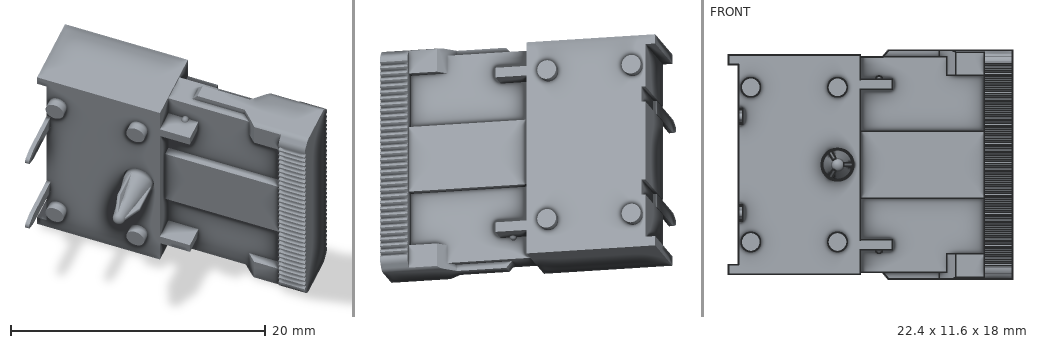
import cadquery as cq
import math

total_length = 22.35
total_height = 18.0

housing_length = 10.37
housing_depth = 6.03
housing_height = 17.25
flange_overhang = 0.78
flange_thickness = 0.75

arm_length = 2.53
arm_thickness = 0.78
arm_outer_z = 6.7
nub_x = 11.85
nub_radius = 0.27
nub_straight = 0.2

pin_diameter = 1.52
pin_length = 0.75
pin_back_x = 1.77
pin_front_x = 8.58
pin_z = 6.08

contact_z = 3.8
contact_width = 1.07
contact_thickness = 0.34
contact_top_y = -1.03
contact_taper_y = -6.64
contact_round_y = -7.46
contact_tip_y = -7.65
contact_tip_width = 0.54
contact_slot_width = 1.23

peg_diameter = 2.35
peg_seat_diameter = 2.55
peg_seat_depth = 0.75
peg_collar = 0.31
peg_tip_radius = 0.5
peg_tip_y = -7.8
fin_count = 3
fin_width = 0.3
fin_edge_radius = 0.1
fin_reach = 1.2
fin_shoulder = 0.3
fin_taper_y = -5.88

slider_thickness = 2.37
slider_height = 16.95
rib_thickness = 3.78
rib_height = 5.27
rail_start_x = 12.14
rail_slope_length = 0.45
rail_width = 1.16
shoulder_start_x = 16.56
shoulder_inner_z = 7.02
grip_length = 2.21
grip_thickness = 4.8
grip_chamfer = 0.65
grip_fillet = 0.65
groove_count = 32
groove_pitch = 0.5
groove_width = 0.35
groove_depth = 0.27

front_face_y = -housing_depth / 2
slider_face_y = slider_thickness / 2
grip_start_x = total_length - grip_length
contact_slot_depth = contact_thickness


def box(x_range, y_range, z_range):
    """Box between two limits on each axis."""
    size = [high - low for low, high in (x_range, y_range, z_range)]
    corner = (x_range[0], y_range[0], z_range[0])
    return cq.Workplane("XY").box(*size, centered=False).translate(corner)


def centred_box(x_range, thickness, height):
    """Box along X that is centred on Y = 0 and Z = 0."""
    return box(x_range, (-thickness / 2, thickness / 2), (-height / 2, height / 2))


def rod(x, z, diameter, y_range):
    """Cylinder along Y between two limits."""
    low, high = y_range
    start = cq.Vector(x, low, z)
    return cq.Workplane(cq.Solid.makeCylinder(diameter / 2, high - low, start, cq.Vector(0, 1, 0)))


def mirror_z(half):
    """The given shape together with its mirror image below Z = 0."""
    return half.union(half.mirror("XY"))


def make_nub():
    """Round-ended nub on the outer face of the front arm, pointing to -Y."""
    straight_end_y = -slider_face_y - nub_straight
    arc_offset = nub_radius * math.sqrt(0.5)
    nub = (
        cq.Workplane("XY")
        .moveTo(0, -slider_face_y)
        .lineTo(nub_radius, -slider_face_y)
        .lineTo(nub_radius, straight_end_y)
        .threePointArc((arc_offset, straight_end_y - arc_offset), (0, straight_end_y - nub_radius))
        .close()
        .revolve(360, (0, 0), (0, 1))
    )
    return nub.translate((nub_x, 0, arm_outer_z))


def make_guide_arms():
    """Four arms in front of and behind the plug, each with its nub."""
    x_range = (housing_length, housing_length + arm_length)
    z_range = (arm_outer_z - arm_thickness, arm_outer_z)
    front_arm = box(x_range, (front_face_y, -slider_face_y), z_range).union(make_nub())
    upper_arms = front_arm.union(front_arm.mirror("XZ"))
    return mirror_z(upper_arms)


def make_housing():
    body = centred_box((0, housing_length), housing_depth, housing_height)
    recess_height = housing_height - 2 * flange_thickness
    body = body.cut(centred_box((0, flange_overhang), housing_depth, recess_height))
    for z in (-contact_z, contact_z):
        slot = centred_box(
            (flange_overhang, flange_overhang + contact_slot_depth), housing_depth, contact_slot_width
        )
        body = body.cut(slot.translate((0, 0, z)))
    pin_end_y = housing_depth / 2 + pin_length
    for x in (pin_back_x, pin_front_x):
        for z in (-pin_z, pin_z):
            body = body.union(rod(x, z, pin_diameter, (-pin_end_y, pin_end_y)))
    seat_range = (front_face_y, front_face_y + peg_seat_depth)
    body = body.cut(rod(pin_front_x, 0, peg_seat_diameter, seat_range))
    return body.union(make_guide_arms())


def make_contact(z):
    """Flat blade with a narrowed, rounded tip, lying in its housing slot."""
    half_width = contact_width / 2
    half_tip = contact_tip_width / 2
    blade = (
        cq.Workplane("YZ")
        .moveTo(contact_top_y, half_width)
        .lineTo(contact_taper_y, half_width)
        .lineTo(contact_round_y, half_tip)
        .threePointArc((contact_tip_y, 0), (contact_round_y, -half_tip))
        .lineTo(contact_taper_y, -half_width)
        .lineTo(contact_top_y, -half_width)
        .close()
        .extrude(contact_thickness)
    )
    return blade.translate((flange_overhang, 0, z))


def make_peg():
    """Tapered peg with a round tip and fins spaced evenly round its axis."""
    radius = peg_diameter / 2
    base_y = front_face_y + peg_seat_depth
    cone_start_y = front_face_y - peg_collar
    cone_end_y = peg_tip_y + peg_tip_radius
    arc_offset = peg_tip_radius * math.sqrt(0.5)
    peg = (
        cq.Workplane("XY")
        .moveTo(0, base_y)
        .lineTo(radius, base_y)
        .lineTo(radius, cone_start_y)
        .lineTo(peg_tip_radius, cone_end_y)
        .threePointArc((arc_offset, cone_end_y - arc_offset), (0, peg_tip_y))
        .close()
        .revolve(360, (0, 0), (0, 1))
    )
    fin = (
        cq.Workplane("XY")
        .polyline([
            (0, cone_start_y),
            (radius, cone_start_y),
            (fin_reach, cone_start_y - fin_shoulder),
            (fin_reach, fin_taper_y),
            (peg_tip_radius, cone_end_y),
            (0, cone_end_y),
        ])
        .close()
        .extrude(fin_width / 2, both=True)
        .faces("<Z or >Z")
        .edges()
        .fillet(fin_edge_radius)
    )
    for index in range(fin_count):
        peg = peg.union(fin.rotate((0, 0, 0), (0, 1, 0), index * 360 / fin_count))
    return peg.translate((pin_front_x, 0, 0))


def make_grip_envelope():
    """Bar along X with softened long edges that bounds the grip and the shoulders."""
    return (
        centred_box((0, total_length), grip_thickness, total_height)
        .edges("|X")
        .chamfer(grip_chamfer)
        .edges("|X")
        .fillet(grip_fillet)
    )


def make_shoulder():
    """Narrow rail on the top edge that flares at 45 degrees into the shoulder block."""
    half_rail = rail_width / 2
    half_shoulder = rib_thickness / 2
    flare_end_x = shoulder_start_x + half_shoulder - half_rail
    top_z = total_height / 2
    slider_top_z = slider_height / 2
    rail = (
        cq.Workplane("XZ")
        .polyline([
            (rail_start_x, slider_top_z),
            (rail_start_x + rail_slope_length, top_z),
            (grip_start_x, top_z),
            (grip_start_x, slider_top_z),
        ])
        .close()
        .extrude(half_rail, both=True)
    )
    block = (
        cq.Workplane("XY")
        .workplane(offset=shoulder_inner_z)
        .polyline([
            (shoulder_start_x, -half_rail),
            (flare_end_x, -half_shoulder),
            (grip_start_x, -half_shoulder),
            (grip_start_x, half_shoulder),
            (flare_end_x, half_shoulder),
            (shoulder_start_x, half_rail),
        ])
        .close()
        .extrude(top_z - shoulder_inner_z)
    )
    return rail.union(block)


def make_groove_cutter():
    """V-shaped grooves across the front and back of the grip."""
    face_y = grip_thickness / 2
    grooves = []
    for side in (-1, 1):
        for index in range(groove_count):
            z = (index - (groove_count - 1) / 2) * groove_pitch
            groove = (
                cq.Workplane("YZ")
                .workplane(offset=grip_start_x)
                .polyline([
                    (side * face_y, z - groove_width / 2),
                    (side * (face_y - groove_depth), z),
                    (side * face_y, z + groove_width / 2),
                ])
                .close()
                .extrude(grip_length)
            )
            grooves.append(groove.val())
    return cq.Workplane(cq.Compound.makeCompound(grooves))


def make_plug():
    plug = centred_box((housing_length, grip_start_x), slider_thickness, slider_height)
    plug = plug.union(centred_box((housing_length, grip_start_x), rib_thickness, rib_height))
    plug = plug.union(centred_box((grip_start_x, total_length), grip_thickness, total_height))
    plug = plug.union(mirror_z(make_shoulder()))
    return plug.intersect(make_grip_envelope()).cut(make_groove_cutter())


housing = make_housing().solids()
plug = make_plug().solids()
peg = make_peg().solids()
contacts = [make_contact(z).val() for z in (-contact_z, contact_z)]

result = cq.Compound.makeCompound([housing.val(), plug.val(), peg.val(), *contacts])